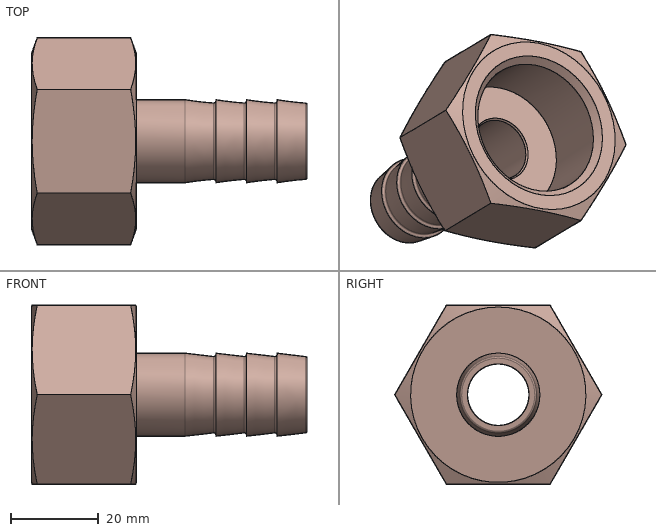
import cadquery as cq
import math

total_length = 63.0

nut_length = 24.0
across_flats = 41.0
across_corners = across_flats / math.cos(math.radians(30))
corner_chamfer_radius = 20.05
corner_chamfer_angle = 20.0
bore_radius = 15.2
bore_mouth_radius = 16.7
nut_wall = 4.0

tail_radius = 9.5
flange_radius = 14.8
flange_thickness = 2.0
passage_radius = 7.0
passage_chamfer = 0.4
barb_start = 35.15
barb_count = 4
barb_pitch = 7.0
barb_end_radius = 8.7
barb_root_fillet = 0.5
tip_fillet = 0.4

nut_floor = nut_length - nut_wall
flange_face = nut_floor - flange_thickness
barb_roots = [barb_start + index * barb_pitch for index in range(1, barb_count)]


def revolve_about_x(profile):
    """Revolve a closed XZ profile (X = axial, Z = radius) about the X axis."""
    return profile.revolve(360, (0, 0, 0), (1, 0, 0))


def make_nut():
    """Hexagon nut, open at X = 0, with an end wall that holds the tail flange."""
    hexagon = cq.Workplane("YZ").polygon(6, across_corners).extrude(nut_length)

    envelope_radius = across_corners / 2
    chamfer_rise = envelope_radius - corner_chamfer_radius
    chamfer_length = chamfer_rise * math.tan(math.radians(corner_chamfer_angle))
    envelope = revolve_about_x(
        cq.Workplane("XZ")
        .moveTo(0, 0)
        .lineTo(0, corner_chamfer_radius)
        .lineTo(chamfer_length, envelope_radius)
        .lineTo(nut_length - chamfer_length, envelope_radius)
        .lineTo(nut_length, corner_chamfer_radius)
        .lineTo(nut_length, 0)
        .close()
    )

    lead_in_length = bore_mouth_radius - bore_radius
    bore = revolve_about_x(
        cq.Workplane("XZ")
        .moveTo(0, 0)
        .lineTo(0, bore_mouth_radius)
        .lineTo(lead_in_length, bore_radius)
        .lineTo(nut_floor, bore_radius)
        .lineTo(nut_floor, tail_radius)
        .lineTo(nut_length, tail_radius)
        .lineTo(nut_length, 0)
        .close()
    )
    return hexagon.intersect(envelope).cut(bore)


def edges_at_barb_end(x):
    """Selector for the small circular edge where a barb ends at X = x."""
    tolerance = 0.05
    reach = barb_end_radius + tolerance
    return cq.selectors.BoxSelector(
        (x - tolerance, -reach, -reach), (x + tolerance, reach, reach), boundingbox=True
    )


def make_tail():
    """Flanged hose tail with a row of barbs and a passage right through."""
    profile = (
        cq.Workplane("XZ")
        .moveTo(flange_face, 0)
        .lineTo(flange_face, flange_radius)
        .lineTo(nut_floor, flange_radius)
        .lineTo(nut_floor, tail_radius)
        .lineTo(barb_start, tail_radius)
    )
    for root in barb_roots:
        profile = profile.lineTo(root, barb_end_radius).lineTo(root, tail_radius)
    profile = profile.lineTo(total_length, barb_end_radius).lineTo(total_length, 0).close()
    tail = revolve_about_x(profile)

    for root in barb_roots:
        tail = tail.edges(edges_at_barb_end(root)).fillet(barb_root_fillet)
    tail = tail.edges(edges_at_barb_end(total_length)).fillet(tip_fillet)

    passage = revolve_about_x(
        cq.Workplane("XZ")
        .moveTo(flange_face, 0)
        .lineTo(flange_face, passage_radius + passage_chamfer)
        .lineTo(flange_face + passage_chamfer, passage_radius)
        .lineTo(total_length, passage_radius)
        .lineTo(total_length, 0)
        .close()
    )
    return tail.cut(passage)


nut = make_nut()
tail = make_tail()

result = cq.Compound.makeCompound([nut.val(), tail.val()])